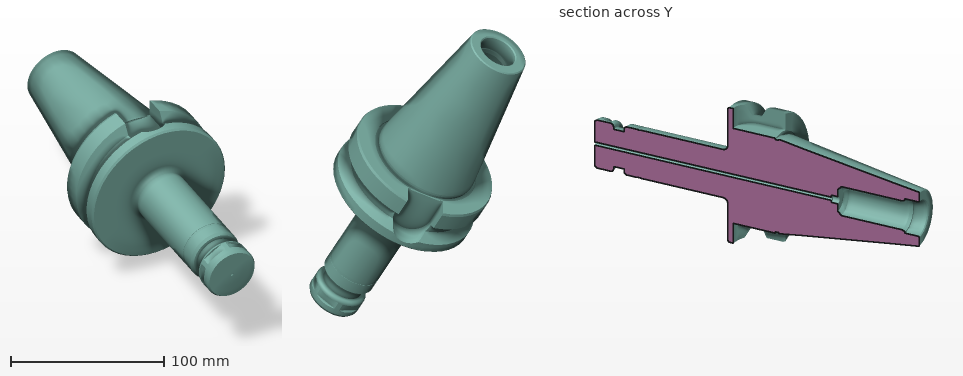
import cadquery as cq
import math

total_length = 236.8
taper_rate = 7 / 24
taper_large_radius = 69.9 / 2
taper_length = 101.4
taper_small_radius = taper_large_radius - taper_length * taper_rate / 2
taper_tip_chamfer = 0.7
taper_land_end = 102.8
neck_radius = 34.3

flange_start = 104.2
flange_end = 140.0
flange_radius = 50.0
front_rim_radius = 99.2 / 2
groove_floor_radius = 42.6
groove_floor_start = 121.7
groove_floor_end = 127.9
groove_wall_slope = math.tan(math.radians(30))
front_groove_run = (front_rim_radius - groove_floor_radius) * groove_wall_slope
rear_groove_run = (flange_radius - groove_floor_radius) * groove_wall_slope
rim_chamfer = 1.2
front_rim_chamfer = 1.7
front_rim_chamfer_depth = 0.7
face_recess_radius = 37.0
face_recess_depth = 0.7

slot_width = 25.8
slot_end = 135.7
slot_floor = 35.3
slot_cut_height = 16.5

arbor_radius = 18.0
arbor_root_fillet = 3.3
ring_groove_start = 203.5
ring_groove_width = 2.1
ring_groove_depth = 0.2
arbor_end = 215.5
arbor_chamfer = 2.0
arbor_chamfer_depth = 1.5
nut_neck_radius = 28.0 / 2

nut_start = 222.8
nut_back_fillet = 2.4
nut_front_chamfer = 2.0
nut_front_chamfer_depth = 1.2
flat_count = 6
flat_start = 225.5
flat_end = 230.9
flat_wall_run = 0.7
flat_distance = 16.3

mouth_radius = 13.3
entry_radius = 12.5
entry_depth = 10.5
thread_mouth_radius = 23.2 / 2
thread_mouth_depth = 12.5
pull_stud_radius = 21.0 / 2
pull_stud_depth = 56.8
bore_floor_radius = 15.9 / 2
jet_radius = 5.0 / 2
jet_depth = 4.7
coolant_radius = 2.0 / 2


def revolve_about_x(sketch):
    """Turn a closed (x, radius) outline about the X axis."""
    return sketch.close().revolve(360, (0, 0, 0), (1, 0, 0))


def turned_body():
    """All outer turned surfaces, from the taper tip to the nut face."""
    ring_groove_end = ring_groove_start + ring_groove_width
    ring_groove_radius = arbor_radius - ring_groove_depth
    root_fillet_offset = arbor_root_fillet * (1 - math.sqrt(0.5))
    nut_fillet_offset = nut_back_fillet * (1 - math.sqrt(0.5))
    outline = (
        cq.Workplane("XY")
        .moveTo(0, 0)
        .lineTo(0, taper_small_radius - taper_tip_chamfer)
        .lineTo(taper_tip_chamfer, taper_small_radius + taper_tip_chamfer * taper_rate / 2)
        .lineTo(taper_length, taper_large_radius)
        .lineTo(taper_land_end, taper_large_radius)
        .lineTo(taper_land_end, neck_radius)
        .lineTo(flange_start + face_recess_depth, neck_radius)
        .lineTo(flange_start + face_recess_depth, face_recess_radius)
        .lineTo(flange_start, face_recess_radius)
        .lineTo(flange_start, front_rim_radius - front_rim_chamfer_depth)
        .lineTo(flange_start + front_rim_chamfer, front_rim_radius)
        .lineTo(groove_floor_start - front_groove_run, front_rim_radius)
        .lineTo(groove_floor_start, groove_floor_radius)
        .lineTo(groove_floor_end, groove_floor_radius)
        .lineTo(groove_floor_end + rear_groove_run, flange_radius)
        .lineTo(flange_end - rim_chamfer, flange_radius)
        .lineTo(flange_end, flange_radius - rim_chamfer)
        .lineTo(flange_end, arbor_radius + arbor_root_fillet)
        .threePointArc(
            (flange_end + root_fillet_offset, arbor_radius + root_fillet_offset),
            (flange_end + arbor_root_fillet, arbor_radius),
        )
        .lineTo(ring_groove_start, arbor_radius)
        .lineTo(ring_groove_start, ring_groove_radius)
        .lineTo(ring_groove_end, ring_groove_radius)
        .lineTo(ring_groove_end, arbor_radius)
        .lineTo(arbor_end - arbor_chamfer, arbor_radius)
        .lineTo(arbor_end, arbor_radius - arbor_chamfer_depth)
        .lineTo(arbor_end, nut_neck_radius)
        .lineTo(nut_start, nut_neck_radius)
        .lineTo(nut_start, arbor_radius - nut_back_fillet)
        .threePointArc(
            (nut_start + nut_fillet_offset, arbor_radius - nut_fillet_offset),
            (nut_start + nut_back_fillet, arbor_radius),
        )
        .lineTo(total_length - nut_front_chamfer, arbor_radius)
        .lineTo(total_length, arbor_radius - nut_front_chamfer_depth)
        .lineTo(total_length, 0)
    )
    return revolve_about_x(outline)


def bore():
    """Stepped bore with a conical bottom and a coolant hole right through."""
    mouth_chamfer = mouth_radius - entry_radius
    bore_floor = pull_stud_depth + pull_stud_radius - bore_floor_radius
    jet_end = bore_floor + jet_depth
    outline = (
        cq.Workplane("XY")
        .moveTo(0, 0)
        .lineTo(0, mouth_radius)
        .lineTo(mouth_chamfer, entry_radius)
        .lineTo(entry_depth, entry_radius)
        .lineTo(entry_depth, thread_mouth_radius)
        .lineTo(thread_mouth_depth, pull_stud_radius)
        .lineTo(pull_stud_depth, pull_stud_radius)
        .lineTo(bore_floor, bore_floor_radius)
        .lineTo(bore_floor, jet_radius)
        .lineTo(jet_end, jet_radius)
        .lineTo(jet_end, coolant_radius)
        .lineTo(total_length, coolant_radius)
        .lineTo(total_length, 0)
    )
    return revolve_about_x(outline)


def drive_slot():
    """Round-ended key slot through the top of the flange, open toward the taper."""
    half_width = slot_width / 2
    arc_center = slot_end - half_width
    return (
        cq.Workplane("XY", origin=(0, 0, slot_floor))
        .moveTo(taper_land_end, -half_width)
        .lineTo(arc_center, -half_width)
        .threePointArc((slot_end, 0), (arc_center, half_width))
        .lineTo(taper_land_end, half_width)
        .close()
        .extrude(slot_cut_height)
    )


def nut_flat(angle):
    """Material removed to make one wrench flat, turned to the given angle about X."""
    flat_depth = arbor_radius - flat_distance
    return (
        cq.Workplane("XY")
        .moveTo(flat_start, flat_distance)
        .lineTo(flat_end, flat_distance)
        .lineTo(flat_end + flat_wall_run, flat_distance + flat_depth)
        .lineTo(flat_start, flat_distance + flat_depth)
        .close()
        .extrude(arbor_radius, both=True)
        .rotate((0, 0, 0), (1, 0, 0), angle)
    )


result = turned_body().cut(bore())

for slot_angle in (0, 180):
    result = result.cut(drive_slot().rotate((0, 0, 0), (1, 0, 0), slot_angle))

for index in range(flat_count):
    result = result.cut(nut_flat(index * 360 / flat_count))